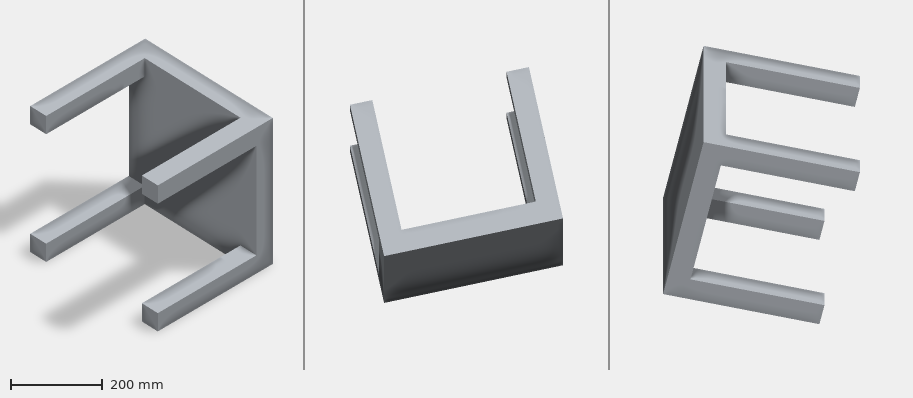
import cadquery as cq

top_side = 400.0
top_thickness = 50.0
leg_side = 50.0
leg_length = 300.0

leg_offset = (top_side - leg_side) / 2
total_depth = top_thickness + leg_length
top_center_y = (total_depth - top_thickness) / 2
leg_center_y = (leg_length - total_depth) / 2


def make_top():
    """Square slab at the +Y end."""
    slab = cq.Workplane("XY").box(top_side, top_thickness, top_side)
    return slab.translate((0, top_center_y, 0))


def make_leg(x, z):
    """Square leg running from the slab to the -Y end."""
    leg = cq.Workplane("XY").box(leg_side, leg_length, leg_side)
    return leg.translate((x, leg_center_y, z))


result = make_top()
for x in (-leg_offset, leg_offset):
    for z in (-leg_offset, leg_offset):
        result = result.union(make_leg(x, z))
result = result.clean()